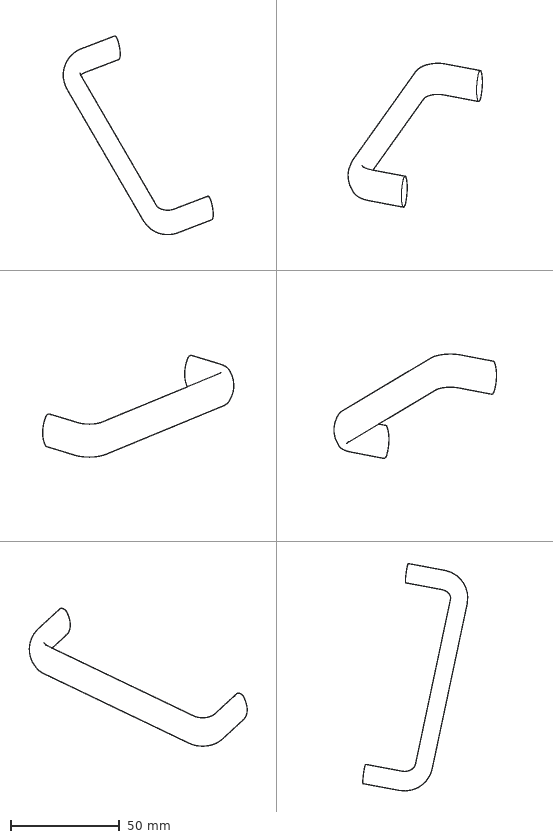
import cadquery as cq
import math

length = 108.0
depth = 30.0
height = 16.0

bar_width = 8.0
tip_radius = 2.4
bend_inner_radius = 5.0

half_width = bar_width / 2
half_height = height / 2
bend_radius = bend_inner_radius + half_width

tip_center = half_height - tip_radius
side_radius = (half_width**2 + tip_center**2 - tip_radius**2) / (2 * (half_width - tip_radius))
side_center = side_radius - half_width
joint_angle = math.atan2(tip_center, side_center)
joint_x = side_radius * math.cos(joint_angle) - side_center
joint_z = side_radius * math.sin(joint_angle)

leg_x = length / 2 - half_width
leg_end_y = depth / 2
grip_y = -depth / 2 + half_width
bend_start_y = grip_y + bend_radius
bend_end_x = leg_x - bend_radius
bend_offset = bend_radius * (1 - math.sqrt(0.5))


def bar_section():
    """Oval section at the mounting end of the left leg."""
    plane = cq.Plane(origin=(-leg_x, leg_end_y, 0), xDir=(1, 0, 0), normal=(0, -1, 0))
    return (
        cq.Workplane(plane)
        .moveTo(joint_x, -joint_z)
        .threePointArc((half_width, 0), (joint_x, joint_z))
        .threePointArc((0, half_height), (-joint_x, joint_z))
        .threePointArc((-half_width, 0), (-joint_x, -joint_z))
        .threePointArc((0, -half_height), (joint_x, -joint_z))
        .close()
    )


def center_line():
    """Leg, bend, grip, bend and leg, running from left to right."""
    return (
        cq.Workplane("XY")
        .moveTo(-leg_x, leg_end_y)
        .lineTo(-leg_x, bend_start_y)
        .threePointArc((-leg_x + bend_offset, grip_y + bend_offset), (-bend_end_x, grip_y))
        .lineTo(bend_end_x, grip_y)
        .threePointArc((leg_x - bend_offset, grip_y + bend_offset), (leg_x, bend_start_y))
        .lineTo(leg_x, leg_end_y)
    )


result = bar_section().sweep(center_line())